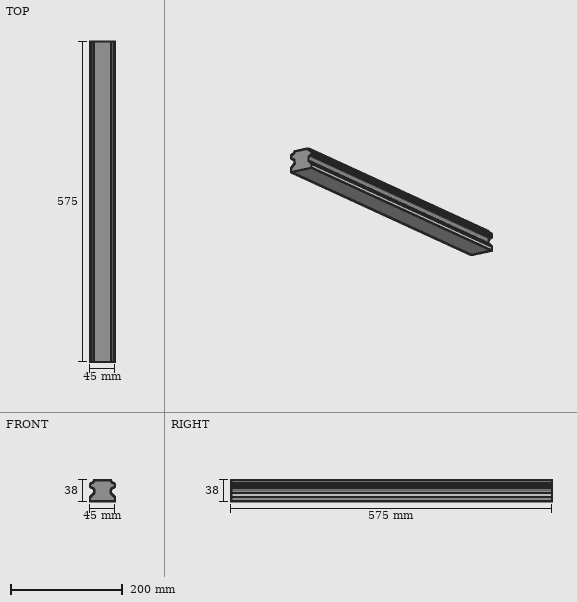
import cadquery as cq
import math

rail_width = 45.0
rail_length = 575.0
rail_height = 38.0

top_half_width = 15.0
shoulder_half_width = 20.0
head_mid_height = 28.6
flank_half_height = 2.0
shoulder_half_height = 4.5
cove_sag = 1.4

neck_half_width = top_half_width
foot_side_height = 7.6
foot_slope_angle = 45.0

half_width = rail_width / 2
head_half_height = rail_height - head_mid_height
slope_run = half_width - neck_half_width
slope_top_height = foot_side_height + slope_run * math.tan(math.radians(foot_slope_angle))


def cove_middle(side):
    """Mid point of the hollow cove; side is +1 above the head's mid height, -1 below."""
    across = shoulder_half_width - top_half_width
    rise = head_half_height - shoulder_half_height
    chord = math.hypot(across, rise)
    x = (top_half_width + shoulder_half_width) / 2 - cove_sag * rise / chord
    offset = (head_half_height + shoulder_half_height) / 2 - cove_sag * across / chord
    return x, head_mid_height + side * offset


def half_rail():
    """Extrude the +X half of the cross-section along Y, centred on the origin."""
    profile = (
        cq.Workplane("XZ", origin=(0, rail_length / 2, 0))
        .moveTo(0, 0)
        .lineTo(half_width, 0)
        .lineTo(half_width, foot_side_height)
        .lineTo(neck_half_width, slope_top_height)
        .lineTo(neck_half_width, head_mid_height - head_half_height)
        .threePointArc(cove_middle(-1), (shoulder_half_width, head_mid_height - shoulder_half_height))
        .lineTo(half_width, head_mid_height - flank_half_height)
        .lineTo(half_width, head_mid_height + flank_half_height)
        .lineTo(shoulder_half_width, head_mid_height + shoulder_half_height)
        .threePointArc(cove_middle(1), (top_half_width, rail_height))
        .lineTo(0, rail_height)
        .close()
    )
    return profile.extrude(rail_length)


right_half = half_rail()
result = right_half.union(right_half.mirror("YZ")).clean()